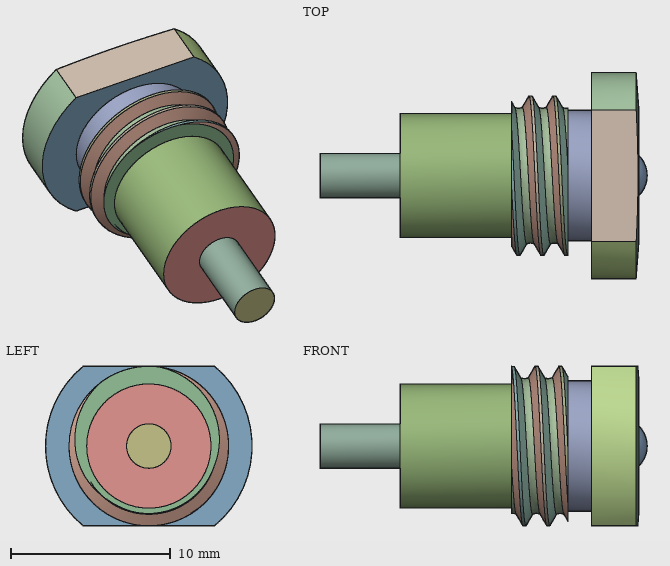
import cadquery as cq
import math

BODY_START = 5.0
THREAD_START = 12.0
THREAD_END = 15.54
HEAD_START = 17.0
HEAD_END = 19.97
TIP_END = 20.5

PIN_RADIUS = 1.4
BODY_RADIUS = 3.9
NECK_RADIUS = 4.1
THREAD_RADIUS = 5.0
HEAD_RADIUS = 6.48
TIP_RADIUS = 1.27

FLAT_DISTANCE = 2 * THREAD_RADIUS
HEAD_TAPER_LENGTH = 0.16
HEAD_FACE_RADIUS = 4.3

PITCH = 1.5
CREST_WIDTH = 0.18
THREAD_DEPTH = 0.78
FLANK_ANGLE = 30.0
ROOT_ROUNDING = 0.06
CREST_AT_TOP = 12.05
OVERCUT = 0.1


def rod(start, end, radius):
    """Cylinder on the X axis."""
    return cq.Workplane("YZ", origin=(start, 0, 0)).circle(radius).extrude(end - start)


def make_head():
    """Disc with two flats; its outer face has a shallow conical rim and a domed tip."""
    tip_height = TIP_END - HEAD_END
    dome_radius = (TIP_RADIUS**2 + tip_height**2) / (2 * tip_height)
    dome_centre = TIP_END - dome_radius
    half_angle = math.asin(TIP_RADIUS / dome_radius) / 2
    dome_middle = (
        dome_centre + dome_radius * math.cos(half_angle),
        dome_radius * math.sin(half_angle),
    )
    disc = (
        cq.Workplane("XY")
        .moveTo(HEAD_START, 0)
        .lineTo(HEAD_START, HEAD_RADIUS)
        .lineTo(HEAD_END - HEAD_TAPER_LENGTH, HEAD_RADIUS)
        .lineTo(HEAD_END, HEAD_FACE_RADIUS)
        .lineTo(HEAD_END, TIP_RADIUS)
        .threePointArc(dome_middle, (TIP_END, 0))
        .close()
        .revolve(360, (0, 0, 0), (1, 0, 0))
    )
    flats = cq.Workplane("XY").box(3 * TIP_END, 3 * HEAD_RADIUS, FLAT_DISTANCE)
    return disc.intersect(flats)


def make_groove():
    """Helical cutter for the thread, running past both ends of the threaded length."""
    slope = math.tan(math.radians(FLANK_ANGLE))
    outer_half = (PITCH - CREST_WIDTH) / 2 + OVERCUT * slope
    root_half = (PITCH - CREST_WIDTH) / 2 - (THREAD_DEPTH - ROOT_ROUNDING) * slope
    outer_radius = THREAD_RADIUS + OVERCUT
    root_radius = THREAD_RADIUS - THREAD_DEPTH
    root_edge_radius = root_radius + ROOT_ROUNDING
    turns = math.ceil((THREAD_END - THREAD_START) / PITCH) + 2

    path = cq.Wire.makeHelix(PITCH, turns * PITCH, root_radius)
    cutter = (
        cq.Workplane("XZ")
        .moveTo(outer_radius, -outer_half)
        .lineTo(root_edge_radius, -root_half)
        .threePointArc((root_radius, 0), (root_edge_radius, root_half))
        .lineTo(outer_radius, outer_half)
        .close()
        .sweep(cq.Workplane(path), isFrenet=True)
    )
    cutter = cutter.rotate((0, 0, 0), (1, 1, 1), 120).rotate((0, 0, 0), (1, 0, 0), 90)
    groove_start = CREST_AT_TOP - 1.5 * PITCH
    return cutter.translate((groove_start, 0, 0))


def make_thread():
    """Threaded collar: long stock is grooved first and then trimmed to length."""
    stock = rod(THREAD_START - 3 * PITCH, THREAD_END + 3 * PITCH, THREAD_RADIUS)
    return stock.cut(make_groove()).intersect(rod(THREAD_START, THREAD_END, HEAD_RADIUS))


result = (
    rod(0, HEAD_START, PIN_RADIUS)
    .union(rod(BODY_START, HEAD_START, BODY_RADIUS))
    .union(rod(THREAD_START, HEAD_START, NECK_RADIUS))
    .union(make_thread())
    .union(make_head())
)